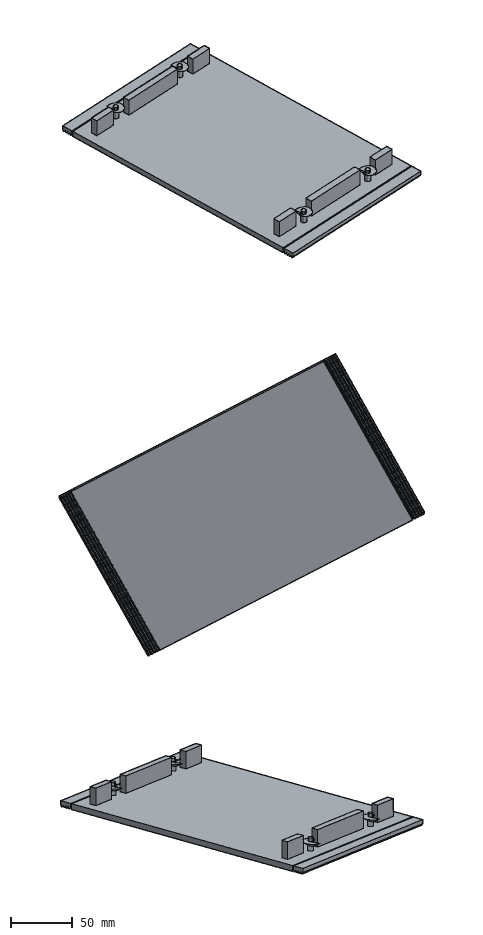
import cadquery as cq
import math

plate_length = 254.0
plate_width = 152.0
plate_thickness = 5.0

teeth_per_flap = 4
tooth_pitch = 2.51
groove_depth = 1.5
groove_angle = 60
groove_half_width = groove_depth * math.tan(math.radians(groove_angle / 2))
flap_length = teeth_per_flap * tooth_pitch
hinge_gap = 1.0
hinge_web = 0.3

block_height = 15.0
block_thickness = 6.0
block_outer_x = 103.6
middle_block_length = 58.0
end_block_length = 20.0
block_gap = 18.0
latch_y = (middle_block_length + block_gap) / 2
end_block_y = middle_block_length / 2 + block_gap + end_block_length / 2

post_radius = 2.5
head_sides = 6
head_across_flats = 3.8
wing_top = 8.1
head_top = 11.0
wing_radius = 8.6
wing_root_radius = 1.8
wing_slope = 0.6
wing_lead = 4.8
ramp_angle = 73
latch_turn = 189


def make_flap_cut():
    """Space removed at the -X end: the hinge gap below its web, and the V grooves beside the teeth.

    The groove at each flap edge is half: one runs out past the plate end, the other into the gap.
    """
    outer_x = -plate_length / 2
    gap_height = plate_thickness - hinge_web
    cut = cq.Workplane("XY").box(
        hinge_gap, plate_width, gap_height, centered=(False, True, False)
    ).translate((outer_x + flap_length, 0, 0))
    for edge in range(teeth_per_flap + 1):
        groove_x = outer_x + edge * tooth_pitch
        groove = (
            cq.Workplane("XZ", origin=(groove_x, plate_width / 2, 0))
            .moveTo(-groove_half_width, 0)
            .lineTo(groove_half_width, 0)
            .lineTo(0, groove_depth)
            .close()
            .extrude(plate_width)
        )
        cut = cut.union(groove)
    return cut


def make_block_row():
    """Three blocks in a row along Y, beside the -X end."""
    row = cq.Workplane("XY")
    for y, length in (
        (-end_block_y, end_block_length),
        (0, middle_block_length),
        (end_block_y, end_block_length),
    ):
        block = cq.Workplane("XY").box(
            block_thickness, length, block_height, centered=(False, True, False)
        )
        row = row.union(block.translate((-block_outer_x, y, plate_thickness)))
    return row


def make_plate():
    plate = cq.Workplane("XY").box(
        plate_length, plate_width, plate_thickness, centered=(True, True, False)
    )
    flap_cut = make_flap_cut()
    block_row = make_block_row()
    plate = plate.cut(flap_cut).cut(flap_cut.mirror("YZ"))
    return plate.union(block_row).union(block_row.mirror("YZ"))


def make_wing():
    """One left-hand turn of a triangular thread, cut flat on top so that its outline is a spiral."""
    root_drop = wing_slope * (wing_radius - wing_root_radius)
    section = [
        (wing_radius, 0),
        (wing_root_radius, 0),
        (wing_root_radius, -root_drop),
    ]
    helix = cq.Wire.makeHelix(wing_lead, wing_lead, wing_radius, lefthand=True)
    wing = cq.Workplane("XZ").polyline(section).close().sweep(cq.Workplane(obj=helix), isFrenet=True)

    ramp_rise = wing_lead * ramp_angle / 360
    below_top = cq.Workplane("XY").circle(2 * wing_radius).extrude(wing_top)
    return wing.translate((0, 0, wing_top - ramp_rise)).intersect(below_top)


def make_latch():
    """One latch around the Z axis, standing on Z = 0."""
    post = cq.Workplane("XY").circle(post_radius).extrude(wing_top)
    head = (
        cq.Workplane("XY", origin=(0, 0, wing_top))
        .polygon(head_sides, head_across_flats, circumscribed=True)
        .extrude(head_top - wing_top)
    )
    latch = post.union(head).union(make_wing())
    return latch.rotate((0, 0, 0), (0, 0, 1), latch_turn)


plate = make_plate()

latch = make_latch()
latches = []
for x in (-block_outer_x, block_outer_x):
    for y in (-latch_y, latch_y):
        latches.append(latch.translate((x, y, plate_thickness)).solids().val())

result = cq.Compound.makeCompound([plate.solids().val(), *latches])